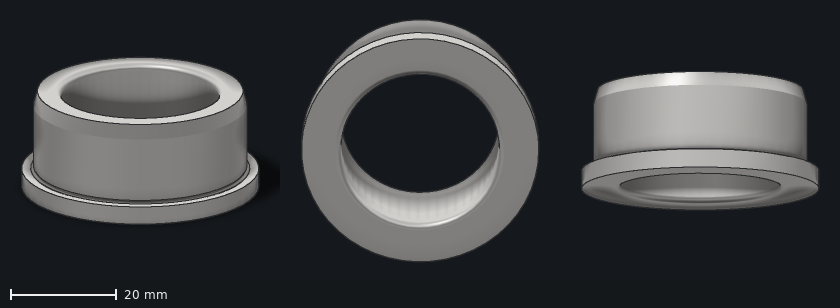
import cadquery as cq
import math

height = 19.0
bore_radius = 15.0
body_radius = 20.25
flange_radius = 22.5
flange_thickness = 3.5

lead_setback = 0.75
lead_angle = math.radians(15)
lead_height = lead_setback / math.tan(lead_angle)

relief_radius = 0.37

mouth_radius = 1.1


def revolve_about_axis(profile):
    """Sweep a closed radius-height profile a full turn about Z."""
    return profile.revolve(360, (0, 0), (0, 1))


def make_bushing():
    """Flange and tapered body around a bore with rounded mouths."""
    mouth_edge_radius = bore_radius + mouth_radius
    round_setback = mouth_radius * (1 - math.sqrt(0.5))
    round_mid_radius = bore_radius + round_setback
    profile = (
        cq.Workplane("XZ")
        .moveTo(mouth_edge_radius, 0)
        .lineTo(flange_radius, 0)
        .lineTo(flange_radius, flange_thickness)
        .lineTo(body_radius, flange_thickness)
        .lineTo(body_radius, height - lead_height)
        .lineTo(body_radius - lead_setback, height)
        .lineTo(mouth_edge_radius, height)
        .threePointArc(
            (round_mid_radius, height - round_setback),
            (bore_radius, height - mouth_radius),
        )
        .lineTo(bore_radius, mouth_radius)
        .threePointArc(
            (round_mid_radius, round_setback),
            (mouth_edge_radius, 0),
        )
        .close()
    )
    return revolve_about_axis(profile)


def make_relief():
    """Round-bottomed slot whose half circle is centred on the body-flange corner."""
    wall_offset = relief_radius * math.sqrt(0.5)
    opening_reach = 2 * wall_offset
    profile = (
        cq.Workplane("XZ")
        .moveTo(body_radius, flange_thickness + opening_reach)
        .lineTo(body_radius - wall_offset, flange_thickness + wall_offset)
        .threePointArc(
            (body_radius - wall_offset, flange_thickness - wall_offset),
            (body_radius + wall_offset, flange_thickness - wall_offset),
        )
        .lineTo(body_radius + opening_reach, flange_thickness)
        .close()
    )
    return revolve_about_axis(profile)


result = make_bushing().cut(make_relief())